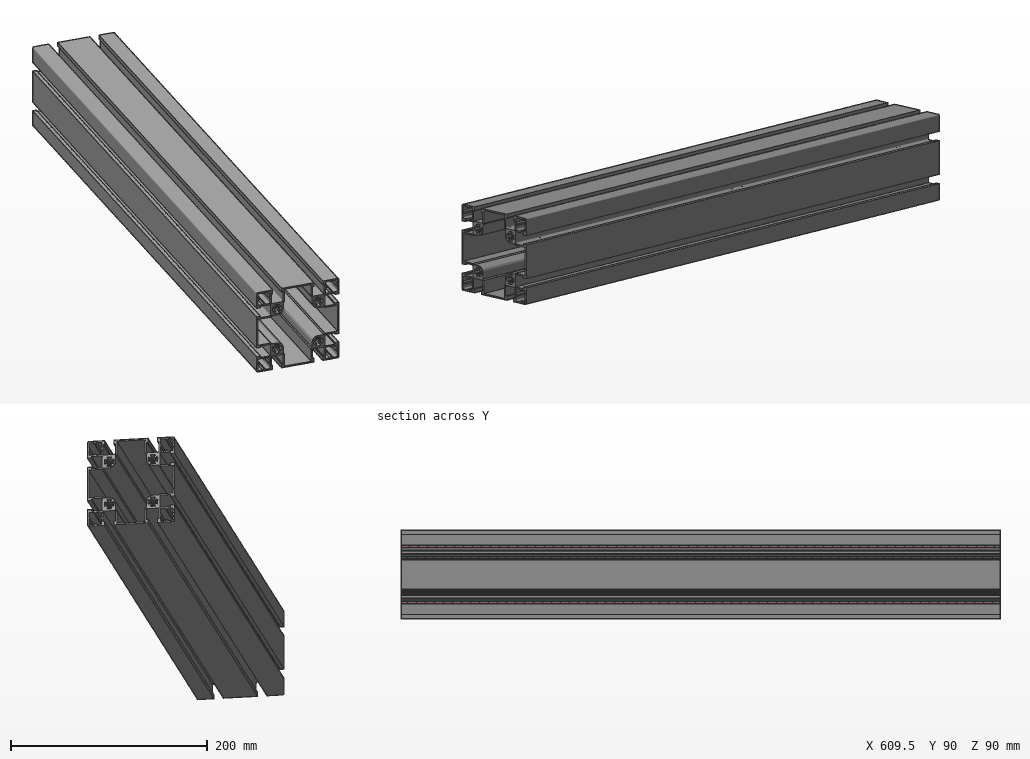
import cadquery as cq
import math

length = 609.5
side = 90.0
half = side / 2
wall = 1.5
corner_radius = 2.0

slot_offset = side / 4
opening_half = 10.0 / 2
slot_half = 13.0 / 2
slot_depth = 15.0
lip_depth = 4.0
slot_fillet = 1.0

core_radius = 7.0
channel_radius = 5.05
channel_tip_radius = 2.75
lobe_half_angle = math.radians(29)

tube_fillet = 1.0
ridge_height = 0.9
ridge_half_width = 2.0


def profile_plane():
    """Plane of the cross-section at the -X end; local x is Y and local y is Z."""
    return cq.Workplane("YZ", origin=(-length / 2, 0, 0))


def around(solid, centre=0):
    """Four copies of a solid, a quarter turn apart about the X-parallel axis at Y = Z = centre."""
    copies = solid
    for quarter in range(1, 4):
        copies = copies.union(solid.rotate((0, centre, centre), (1, centre, centre), 90 * quarter))
    return copies


def outer_bar():
    """Square bar with rounded long edges."""
    return profile_plane().rect(side, side).extrude(length).edges("|X").fillet(corner_radius)


def slot():
    """T-slot in the +Z face, on the +Y side; only the bottom corner nearest the bar's middle is rounded."""
    floor = half - slot_depth
    lip = half - lip_depth
    inner = slot_offset - slot_half
    outer = slot_offset + slot_half
    return (
        profile_plane()
        .moveTo(slot_offset - opening_half, half)
        .lineTo(slot_offset - opening_half, lip)
        .lineTo(inner, lip)
        .lineTo(inner, floor + slot_fillet)
        .radiusArc((inner + slot_fillet, floor), -slot_fillet)
        .lineTo(outer, floor)
        .lineTo(outer, lip)
        .lineTo(slot_offset + opening_half, lip)
        .lineTo(slot_offset + opening_half, half)
        .close()
        .extrude(length)
    )


def all_slots():
    """Both slots of all four faces."""
    pair = slot().union(slot().mirror("XZ"))
    return around(pair)


def centre_void():
    """Cross-shaped hollow, stepped in and rounded where it passes the four cores."""
    reach = half - wall
    neck = slot_offset - slot_half - wall
    core_edge = slot_offset - core_radius
    step_start = half - slot_depth
    step_end = step_start - (core_edge - neck)
    arc_mid = slot_offset - core_radius * math.sqrt(0.5)
    quadrant = (
        profile_plane()
        .lineTo(0, reach)
        .lineTo(neck, reach)
        .lineTo(neck, step_start)
        .lineTo(core_edge, step_end)
        .lineTo(core_edge, slot_offset)
        .threePointArc((arc_mid, arc_mid), (slot_offset, core_edge))
        .lineTo(step_end, core_edge)
        .lineTo(step_start, neck)
        .lineTo(reach, neck)
        .lineTo(reach, 0)
        .close()
        .extrude(length)
    )
    return around(quadrant)


def corner_tube():
    """Square hollow in the +Y +Z corner with one ridge along each wall."""
    outer = half - wall
    inner = slot_offset + slot_half + wall
    middle = (outer + inner) / 2
    width = outer - inner
    hollow = profile_plane().center(middle, middle).rect(width, width).extrude(length)
    hollow = hollow.edges("|X").fillet(tube_fillet)
    ridge = (
        profile_plane()
        .moveTo(middle - ridge_half_width, inner)
        .lineTo(middle, inner + ridge_height)
        .lineTo(middle + ridge_half_width, inner)
        .close()
        .extrude(length)
    )
    return hollow.cut(around(ridge, middle))


def screw_channel():
    """Round bore with four inward ridges on the diagonals, leaving a cross of flared lobes."""
    across = channel_radius * math.sin(lobe_half_angle)
    along = channel_radius * math.cos(lobe_half_angle)
    channel = profile_plane().center(slot_offset, slot_offset).circle(channel_tip_radius).extrude(length)
    lobe = (
        profile_plane()
        .center(slot_offset, slot_offset)
        .lineTo(across, along)
        .threePointArc((0, channel_radius), (-across, along))
        .close()
        .extrude(length)
    )
    return channel.union(around(lobe, slot_offset))


result = (
    outer_bar()
    .cut(all_slots())
    .cut(centre_void())
    .cut(around(corner_tube()))
    .cut(around(screw_channel()))
)